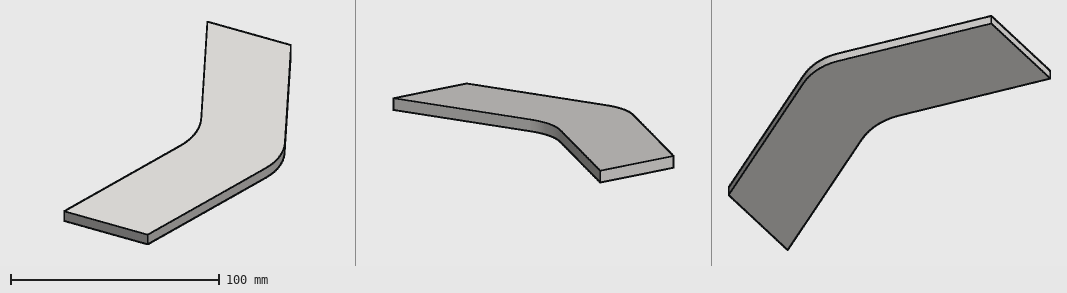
import cadquery as cq
import math

length = 164.4
overall_width = 76.0
end_width = 44.2
thickness = 6.0
inner_bend_radius = 30.4
arm_angle = math.radians(22.5)

half_length = length / 2
bend_reach = half_length * math.tan(arm_angle)

outer_setback = end_width + bend_reach - overall_width
outer_bend_radius = outer_setback / (1 / math.cos(arm_angle) - 1)


def bend_points(end_x, radius):
    """Lower tangent point, crown and upper tangent point of a bend arc."""
    center_x = end_x + bend_reach - radius / math.cos(arm_angle)
    tangent_x = center_x + radius * math.cos(arm_angle)
    tangent_y = radius * math.sin(arm_angle)
    return (tangent_x, -tangent_y), (center_x + radius, 0), (tangent_x, tangent_y)


inner_low, inner_crown, inner_high = bend_points(0, inner_bend_radius)
outer_low, outer_crown, outer_high = bend_points(end_width, outer_bend_radius)

result = (
    cq.Workplane("XY")
    .moveTo(0, -half_length)
    .lineTo(end_width, -half_length)
    .lineTo(*outer_low)
    .threePointArc(outer_crown, outer_high)
    .lineTo(end_width, half_length)
    .lineTo(0, half_length)
    .lineTo(*inner_high)
    .threePointArc(inner_crown, inner_low)
    .close()
    .extrude(thickness)
)